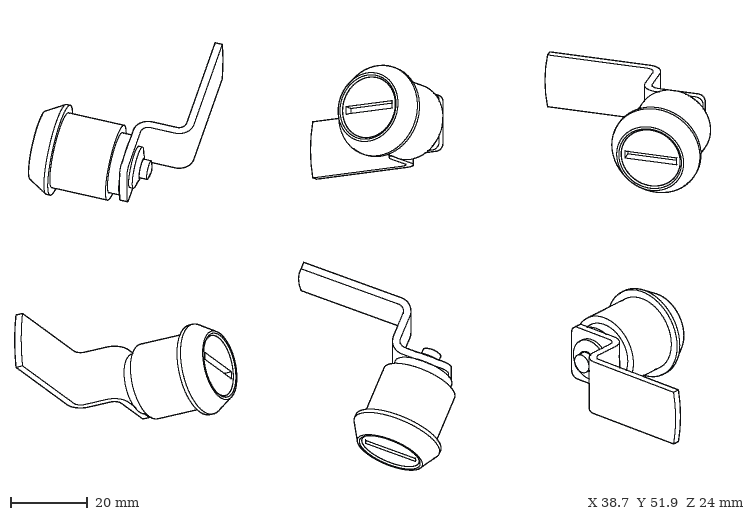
import cadquery as cq
import math


head_diameter = 24.0
cone_length = 5.0
cone_angle = 30.0
rim_thickness = 1.05
barrel_diameter = 20.0
barrel_length = 15.0
bore_diameter = 16.1
mouth_diameter = 17.0
mouth_depth = (mouth_diameter - bore_diameter) / 2

head_length = cone_length + rim_thickness
housing_length = head_length + barrel_length
face_diameter = head_diameter - 2 * cone_length * math.tan(math.radians(cone_angle))

plug_diameter = 16.0
plug_protrusion = 3.0
plug_end = housing_length + plug_protrusion
boss_diameter = 11.0
boss_rim = 1.0
boss_cone_length = 1.05
boss_cone_diameter = 5.5
pin_diameter = 5.0
pin_length = 1.95
dome_height = 0.6
slot_width = 14.0
slot_height = 1.95
slot_depth = 2.6

cam_thickness = 1.95
cam_width = 14.95
cam_inner_radius = 2.0
cam_outer_radius = cam_inner_radius + cam_thickness
cam_heel = 7.0
cam_heel_corner = 2.0
cam_first_bend_y = 5.95
overall_span = 51.9
cam_tip_radius = overall_span - head_diameter / 2
cam_back = 38.7


def revolve_about_x(profile):
    """Turn a closed (X, radius) profile about the lock axis."""
    return profile.close().revolve(360, (0, 0, 0), (1, 0, 0))


def make_housing():
    """Coned head and barrel with a through bore that flares at the key face."""
    profile = (
        cq.Workplane("XY")
        .moveTo(0, mouth_diameter / 2)
        .lineTo(0, face_diameter / 2)
        .lineTo(cone_length, head_diameter / 2)
        .lineTo(head_length, head_diameter / 2)
        .lineTo(head_length, barrel_diameter / 2)
        .lineTo(housing_length, barrel_diameter / 2)
        .lineTo(housing_length, bore_diameter / 2)
        .lineTo(mouth_depth, bore_diameter / 2)
    )
    return revolve_about_x(profile)


def make_plug():
    """Slotted plug whose shaft passes through the cam to the boss and domed pin."""
    boss_start = plug_end + cam_thickness
    boss_cone_start = boss_start + boss_rim
    pin_start = boss_cone_start + boss_cone_length
    pin_end = pin_start + pin_length
    pin_radius = pin_diameter / 2
    dome_radius = (pin_radius**2 + dome_height**2) / (2 * dome_height)
    dome_center = pin_end + dome_height - dome_radius
    half_dome_angle = math.asin(pin_radius / dome_radius) / 2
    dome_middle = (
        dome_center + dome_radius * math.cos(half_dome_angle),
        dome_radius * math.sin(half_dome_angle),
    )
    profile = (
        cq.Workplane("XY")
        .moveTo(mouth_depth, 0)
        .lineTo(mouth_depth, plug_diameter / 2)
        .lineTo(plug_end, plug_diameter / 2)
        .lineTo(plug_end, pin_radius)
        .lineTo(boss_start, pin_radius)
        .lineTo(boss_start, boss_diameter / 2)
        .lineTo(boss_cone_start, boss_diameter / 2)
        .lineTo(pin_start, boss_cone_diameter / 2)
        .lineTo(pin_start, pin_radius)
        .lineTo(pin_end, pin_radius)
        .threePointArc(dome_middle, (pin_end + dome_height, 0))
    )
    key_slot = (
        cq.Workplane("XY")
        .box(slot_depth, slot_width, slot_height, centered=(False, True, True))
        .translate((mouth_depth, 0, 0))
    )
    return revolve_about_x(profile).cut(key_slot)


def make_cam():
    """Z-bent strip with a rounded heel, an arc tip and a hole for the plug shaft."""
    front = plug_end
    first_center = (front + cam_outer_radius, cam_first_bend_y)
    second_center = (
        cam_back - cam_outer_radius,
        cam_first_bend_y + cam_outer_radius + cam_inner_radius,
    )

    def on_bend(center, radius, degrees):
        angle = math.radians(degrees)
        return (center[0] + radius * math.cos(angle), center[1] + radius * math.sin(angle))

    def bend(outline, center, radius, start, end):
        middle = on_bend(center, radius, (start + end) / 2)
        return outline.threePointArc(middle, on_bend(center, radius, end))

    outline = cq.Workplane("XY").moveTo(front, -cam_heel)
    outline = outline.lineTo(*on_bend(first_center, cam_outer_radius, 180))
    outline = bend(outline, first_center, cam_outer_radius, 180, 90)
    outline = outline.lineTo(*on_bend(second_center, cam_inner_radius, -90))
    outline = bend(outline, second_center, cam_inner_radius, -90, 0)
    outline = outline.lineTo(cam_back - cam_thickness, cam_tip_radius)
    outline = outline.lineTo(cam_back, cam_tip_radius)
    outline = outline.lineTo(*on_bend(second_center, cam_outer_radius, 0))
    outline = bend(outline, second_center, cam_outer_radius, 0, -90)
    outline = outline.lineTo(*on_bend(first_center, cam_inner_radius, 90))
    outline = bend(outline, first_center, cam_inner_radius, 90, 180)
    outline = outline.lineTo(front + cam_thickness, -cam_heel)
    strip = outline.close().extrude(cam_width / 2, both=True)

    strip = strip.faces("<Y").edges("|X").fillet(cam_heel_corner)
    tip_limit = cq.Workplane("YZ").circle(cam_tip_radius).extrude(cam_back)
    shaft_hole = cq.Workplane("YZ").circle(pin_diameter / 2).extrude(plug_end + cam_thickness)
    return strip.intersect(tip_limit).cut(shaft_hole)


housing = make_housing()
plug = make_plug()
cam = make_cam()

result = cq.Compound.makeCompound([housing.val(), plug.val(), cam.val()])